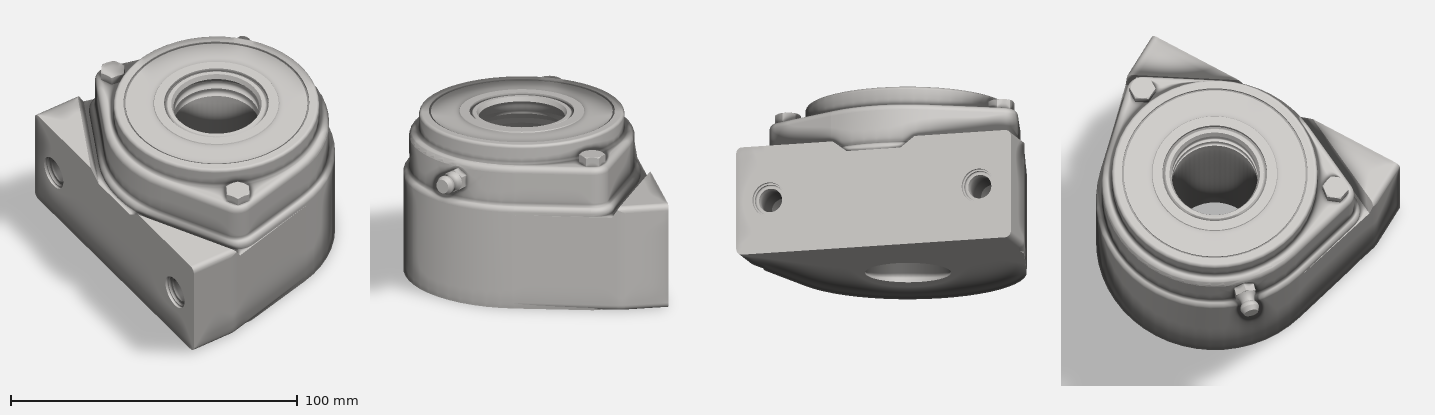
import cadquery as cq
import math


base_width = 99.8
base_y = -42.8
body_radius = 41.4
shoulder_y = -26.0
shoulder_round = 10.0
ledge_z = 34.6
block_top = 38.4
block_edge_round = 2.1
mount_hole_x = 38.0
mount_hole_z = block_top / 2
mount_hole_steps = [(12.0, 1.0), (10.8, 2.0), (8.4, 18.0)]
drill_point_angle = 120.0

neck_radius = 39.3
ear_x = 39.1
ear_y = -17.8
ear_radius = 5.8
neck_top = 51.6
neck_edge_round = 2.2

foot_width = body_radius - neck_radius
foot_round_start = 35.6
foot_outer_round = 2.0
foot_inner_round = 1.0

clearance_gap = 3.3
clearance_slope_run = 2.3

boss_radius = 35.8
boss_top = 58.5
boss_edge_round = 1.1
boss_foot_round = 0.9

cap_seat_diameter = 64.9
cap_seat_z = 55.5
cap_face_diameter = 63.5
cap_face_z = 58.2
cap_gap_depth = 0.5
hub_diameter = 43.9
hub_edge_run = 0.2
lip_groove_diameter = 36.5
lip_groove_floor_diameter = 35.7
lip_groove_depth = 1.2
lip_diameter = 34.2
lip_face_z = 58.0
lip_mouth_diameter = 31.5
lip_throat_z = 56.4
seal_chamber_diameter = 40.0
seal_chamber_top = 55.9
inner_lip_root_z = 51.1
inner_lip_tip_z = 52.0
inner_lip_thickness = 0.6

bore_diameter = 30.0
bearing_diameter = 61.9
race_z = 48.5

screw_places = [(-38.4, -17.8, -8.7), (38.9, -17.1, -2.5)]
screw_flats = 8.0
screw_head_height = 3.3
screw_chamfer = 0.3

nipple_angle = 135.0
nipple_z = 44.9
spotface_distance = 39.1
spotface_diameter = 9.5
spotface_cut_length = 4.0
nipple_hex_flats = 7.0
nipple_hex_length = 2.9
nipple_waist_radius = 2.4
nipple_waist_height = 6.1
nipple_head_radius = 3.3
nipple_head_height = 8.2
nipple_tip_radius = 2.5
nipple_length = 9.9


def circle_point(center, radius, angle):
    """Point on a circle at an angle in degrees."""
    a = math.radians(angle)
    return (center[0] + radius * math.cos(a), center[1] + radius * math.sin(a))


def hexagon(flats, height):
    return cq.Workplane("XY").polygon(6, flats / math.cos(math.pi / 6)).extrude(height)


ear_distance = math.hypot(ear_x, ear_y)
ear_angle = math.degrees(math.atan2(ear_y, ear_x))
tangent_spread = math.degrees(math.acos((neck_radius - ear_radius) / ear_distance))
side_normal = ear_angle + tangent_spread
front_normal = ear_angle - tangent_spread


def neck_outline():
    """Belt around one large circle and the two small ear circles."""
    center = (0, 0)
    ear = (ear_x, ear_y)
    left_ear = (-ear_x, ear_y)
    return (
        cq.Workplane("XY")
        .moveTo(*circle_point(center, neck_radius, side_normal))
        .threePointArc((0, neck_radius), circle_point(center, neck_radius, 180 - side_normal))
        .lineTo(*circle_point(left_ear, ear_radius, 180 - side_normal))
        .threePointArc(
            circle_point(left_ear, ear_radius, 180 - ear_angle),
            circle_point(left_ear, ear_radius, 180 - front_normal),
        )
        .lineTo(*circle_point(center, neck_radius, 180 - front_normal))
        .threePointArc((0, -neck_radius), circle_point(center, neck_radius, front_normal))
        .lineTo(*circle_point(ear, ear_radius, front_normal))
        .threePointArc(
            circle_point(ear, ear_radius, ear_angle), circle_point(ear, ear_radius, side_normal)
        )
        .close()
    )


def housing_block():
    half = base_width / 2
    corner_angle = math.degrees(math.atan2(shoulder_y, half))
    spread = math.degrees(math.acos(body_radius / math.hypot(half, shoulder_y)))
    flank_end = circle_point((0, 0), body_radius, corner_angle + spread)
    block = (
        cq.Workplane("XY")
        .moveTo(half, base_y)
        .lineTo(half, shoulder_y)
        .lineTo(*flank_end)
        .threePointArc((0, body_radius), (-flank_end[0], flank_end[1]))
        .lineTo(-half, shoulder_y)
        .lineTo(-half, base_y)
        .close()
        .extrude(block_top)
    )
    shoulders = cq.selectors.BoxSelector(
        (-half - 1, shoulder_y - 1, 0), (half + 1, shoulder_y + 1, block_top)
    )
    block = block.edges("|Z").edges(shoulders).fillet(shoulder_round)
    depth = 2 * body_radius - base_y
    envelope = cq.Workplane("XY").box(base_width, depth, block_top, centered=(True, True, False))
    envelope = envelope.faces(">Z").edges("|Y").fillet(block_edge_round)
    block = block.intersect(envelope)
    return block.faces("<Z").edges("not <Y").fillet(block_edge_round)


def v_section(offset, z):
    """Triangle whose two front edges lie at an offset from the front sides of the neck."""
    distance = neck_radius + offset
    n = math.radians(front_normal)
    back = body_radius + 1.0
    half = (distance - back * math.sin(n)) / math.cos(n)
    return (
        cq.Workplane("XY")
        .workplane(offset=z)
        .moveTo(0, distance / math.sin(n))
        .lineTo(half, back)
        .lineTo(-half, back)
        .close()
    )


def v_clearance():
    slope = clearance_slope_run / (block_top - ledge_z)
    top = block_top + 1.0
    lower = v_section(clearance_gap, ledge_z).wires().val()
    upper = v_section(clearance_gap + slope * (top - ledge_z), top).wires().val()
    return cq.Workplane(cq.Solid.makeLoft([lower, upper], True))


def neck_foot():
    """Flare around the neck: a convex round running into a concave one."""
    inset = 2.0
    r_out = foot_outer_round
    r_in = foot_inner_round
    out_center_d = foot_width - r_out
    in_center_d = r_in
    turn = math.acos((in_center_d - out_center_d) / (r_out + r_in))
    in_center_z = foot_round_start + (r_out + r_in) * math.sin(turn)

    def on_outer(a):
        return (out_center_d + r_out * math.cos(a), foot_round_start + r_out * math.sin(a))

    def on_inner(a):
        return (in_center_d - r_in * math.cos(a), in_center_z - r_in * math.sin(a))

    plane = cq.Plane(origin=(0, neck_radius, 0), xDir=(0, 1, 0), normal=(1, 0, 0))
    section = (
        cq.Workplane(plane)
        .moveTo(-inset, foot_round_start)
        .lineTo(foot_width, foot_round_start)
        .threePointArc(on_outer(turn / 2), on_outer(turn))
        .threePointArc(on_inner(turn / 2), on_inner(0))
        .lineTo(-inset, in_center_z)
        .close()
    )
    flare = section.sweep(neck_outline().wire(), transition="round")
    pad = neck_outline().offset2D(foot_width).extrude(foot_round_start)
    return pad.union(flare)


def neck():
    body = neck_outline().extrude(neck_top)
    return body.faces(">Z").edges().fillet(neck_edge_round)


def boss():
    top_start = boss_top - boss_edge_round
    k = 1 - math.sqrt(0.5)
    return (
        cq.Workplane("XZ")
        .moveTo(0, neck_top - 1.0)
        .lineTo(boss_radius + boss_foot_round, neck_top - 1.0)
        .lineTo(boss_radius + boss_foot_round, neck_top)
        .threePointArc(
            (boss_radius + boss_foot_round * k, neck_top + boss_foot_round * k),
            (boss_radius, neck_top + boss_foot_round),
        )
        .lineTo(boss_radius, top_start)
        .threePointArc(
            (boss_radius - boss_edge_round * k, boss_top - boss_edge_round * k),
            (boss_radius - boss_edge_round, boss_top),
        )
        .lineTo(0, boss_top)
        .close()
        .revolve(360, (0, 0, 0), (0, 1, 0))
    )


def mount_hole(x):
    """Stepped blind hole in the mounting face, ending in a drill point."""
    profile = cq.Workplane("XY")
    start = 0
    for diameter, depth in mount_hole_steps:
        profile = profile.lineTo(diameter / 2, start).lineTo(diameter / 2, depth)
        start = depth
    point = diameter / 2 / math.tan(math.radians(drill_point_angle / 2))
    hole = profile.lineTo(0, depth + point).close().revolve(360, (0, 0, 0), (0, 1, 0))
    return hole.translate((x, base_y, mount_hole_z))


def place_on_nipple_axis(shape, distance):
    """Turn a shape standing on Z to point outwards, its foot at a distance from the bearing axis."""
    return (
        shape.rotate((0, 0, 0), (0, 1, 0), 90)
        .translate((distance, 0, nipple_z))
        .rotate((0, 0, 0), (0, 0, 1), nipple_angle)
    )


def make_housing():
    body = housing_block().cut(v_clearance())
    body = body.union(neck_foot()).union(neck()).union(boss())
    body = body.cut(cq.Workplane("XY").circle(bearing_diameter / 2).extrude(boss_top))
    seat = cq.Workplane("XY").workplane(offset=cap_seat_z).circle(cap_seat_diameter / 2)
    body = body.cut(seat.extrude(boss_top - cap_seat_z))
    for side in (-1, 1):
        body = body.cut(mount_hole(side * mount_hole_x))
    spotface = cq.Workplane("XY").circle(spotface_diameter / 2).extrude(spotface_cut_length)
    return body.cut(place_on_nipple_axis(spotface, spotface_distance))


def make_seal_cap():
    """Disc with a hub; an outer and an inner lip enclose a chamber around the bore."""
    seat_r = cap_seat_diameter / 2
    face_r = cap_face_diameter / 2
    hub_r = hub_diameter / 2
    groove_r = lip_groove_diameter / 2
    groove_z = boss_top - lip_groove_depth
    chamber_r = seal_chamber_diameter / 2
    bore_r = bore_diameter / 2
    return (
        cq.Workplane("XZ")
        .moveTo(chamber_r, race_z)
        .lineTo(hub_r, race_z)
        .lineTo(hub_r, cap_seat_z)
        .lineTo(seat_r, cap_seat_z)
        .lineTo(seat_r, cap_face_z - cap_gap_depth)
        .lineTo(face_r, cap_face_z - cap_gap_depth)
        .lineTo(face_r, cap_face_z)
        .lineTo(hub_r, cap_face_z)
        .lineTo(hub_r - hub_edge_run, boss_top)
        .lineTo(groove_r, boss_top)
        .lineTo(groove_r, groove_z)
        .lineTo(lip_groove_floor_diameter / 2, groove_z)
        .lineTo(lip_diameter / 2, lip_face_z)
        .lineTo(lip_mouth_diameter / 2, lip_face_z)
        .lineTo(bore_r, lip_throat_z)
        .lineTo(chamber_r, seal_chamber_top)
        .lineTo(chamber_r, inner_lip_root_z)
        .lineTo(bore_r, inner_lip_tip_z)
        .lineTo(chamber_r, inner_lip_root_z - inner_lip_thickness)
        .close()
        .revolve(360, (0, 0, 0), (0, 1, 0))
    )


def make_bearing():
    ring = cq.Workplane("XY").circle(bearing_diameter / 2).extrude(cap_seat_z)
    ring = ring.faces(">Z").workplane().hole(hub_diameter, cap_seat_z - race_z)
    return ring.faces("<Z").workplane().hole(bore_diameter)


def make_screw(x, y, turn):
    """Hexagon head with bevelled corners, seated on the top of the neck."""
    corner_r = screw_flats / math.sqrt(3)
    bevel = cq.Workplane("XY").circle(corner_r).extrude(screw_head_height)
    bevel = bevel.faces(">Z").chamfer(screw_chamfer, corner_r - screw_flats / 2)
    head = hexagon(screw_flats, screw_head_height).rotate((0, 0, 0), (0, 0, 1), 90)
    head = head.intersect(bevel)
    return head.rotate((0, 0, 0), (0, 0, 1), turn).translate((x, y, neck_top))


def make_grease_nipple():
    """Hexagon foot, waisted neck and rounded head with a flat tip."""
    head = (
        cq.Workplane("XZ")
        .lineTo(nipple_hex_flats / 2, 0)
        .lineTo(nipple_hex_flats / 2, nipple_hex_length)
        .threePointArc((2.7, nipple_hex_length + 1.3), (nipple_waist_radius, nipple_waist_height))
        .threePointArc((3.1, nipple_waist_height + 0.8), (nipple_head_radius, nipple_head_height))
        .lineTo(nipple_tip_radius, nipple_length)
        .lineTo(0, nipple_length)
        .close()
        .revolve(360, (0, 0, 0), (0, 1, 0))
    )
    nipple = head.union(hexagon(nipple_hex_flats, nipple_hex_length))
    return place_on_nipple_axis(nipple, spotface_distance)


housing = make_housing()
seal_cap = make_seal_cap()
bearing = make_bearing()
screws = [make_screw(x, y, turn) for x, y, turn in screw_places]
grease_nipple = make_grease_nipple()

result = cq.Compound.makeCompound(
    [
        housing.val(),
        seal_cap.val(),
        bearing.val(),
        *[screw.val() for screw in screws],
        grease_nipple.val(),
    ]
)